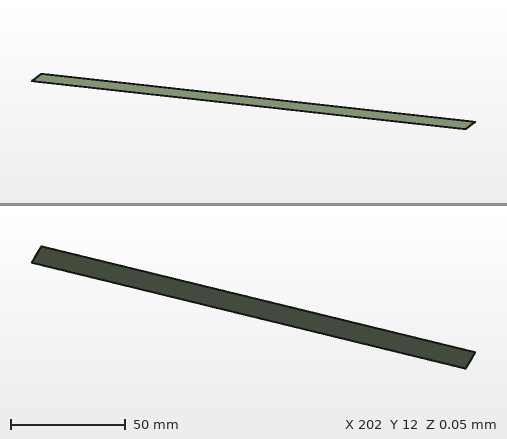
import cadquery as cq

length = 202.0
width = 12.0
thickness = 0.05

result = cq.Workplane("XY").box(length, width, thickness)